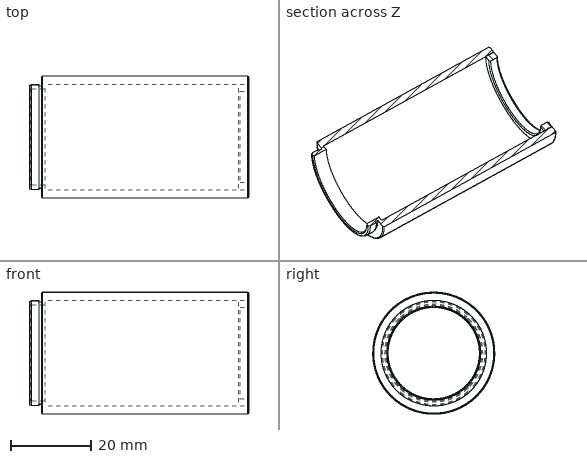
import cadquery as cq

length = 54.6
barrel_diameter = 30.45
barrel_chamfer = 0.3

nose_length = 2.95
nose_diameter = 26.2
nose_chamfer_length = 0.5
nose_chamfer_depth = 0.2
relief_width = 0.65
relief_diameter = 25.55

lip_bore_diameter = 23.9
lip_depth = 3.8
lip_chamfer = 0.3
main_bore_diameter = 26.3

ring_thickness = 2.5
ring_bore_diameter = 22.75
ring_chamfer = 0.35

front_x = -length / 2
back_x = length / 2
shoulder_x = front_x + nose_length
relief_x = shoulder_x - relief_width
lip_back_x = front_x + lip_depth
barrel_radius = barrel_diameter / 2
nose_radius = nose_diameter / 2
relief_radius = relief_diameter / 2
lip_bore_radius = lip_bore_diameter / 2
main_bore_radius = main_bore_diameter / 2
ring_bore_radius = ring_bore_diameter / 2


def make_tube():
    """Turned tube with a relieved nose, an inner lip and a wide bore open at the back."""
    half_section = [
        (front_x, lip_bore_radius + lip_chamfer),
        (front_x, nose_radius - nose_chamfer_depth),
        (front_x + nose_chamfer_length, nose_radius),
        (relief_x, nose_radius),
        (relief_x, relief_radius),
        (shoulder_x, relief_radius),
        (shoulder_x, barrel_radius - barrel_chamfer),
        (shoulder_x + barrel_chamfer, barrel_radius),
        (back_x - barrel_chamfer, barrel_radius),
        (back_x, barrel_radius - barrel_chamfer),
        (back_x, main_bore_radius),
        (lip_back_x, main_bore_radius),
        (lip_back_x, lip_bore_radius),
        (front_x + lip_chamfer, lip_bore_radius),
    ]
    return cq.Workplane("XZ").polyline(half_section).close().revolve(360, (0, 0), (1, 0))


def make_ring():
    """Retaining ring that fills the wide bore at its open end, with both bore edges chamfered."""
    blank = (
        cq.Workplane("YZ", origin=(back_x - ring_thickness, 0, 0))
        .circle(main_bore_radius)
        .circle(ring_bore_radius)
        .extrude(ring_thickness)
    )
    bore_edges = cq.selectors.RadiusNthSelector(0)
    return blank.edges(bore_edges).chamfer(ring_chamfer)


tube = make_tube()
retaining_ring = make_ring()

result = cq.Compound.makeCompound([tube.val(), retaining_ring.val()])